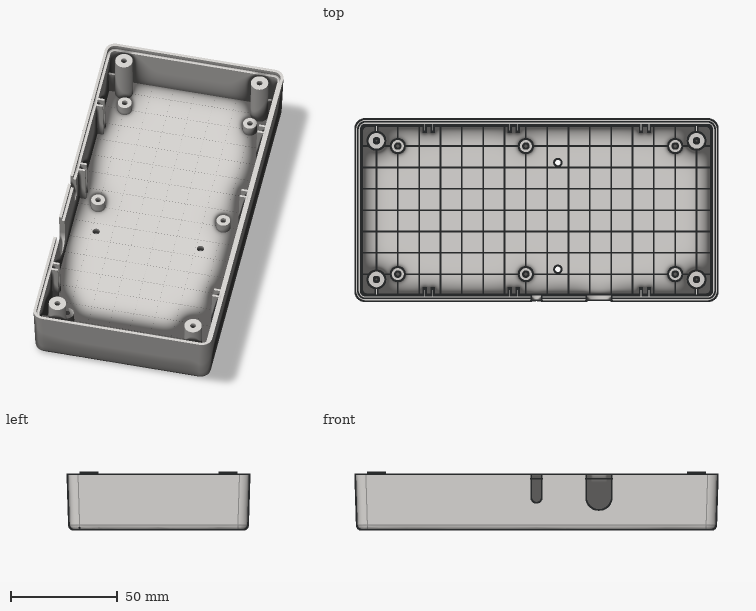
import cadquery as cq
import math


length = 170.0
width = 85.5
rim_height = 26.2
outer_corner_radius = 5.0
bottom_edge_radius = 2.5
draft_angle = 1.8

floor_thickness = 3.5
wall_at_ledge = 2.7
inner_corner_radius = 2.2
lip_thickness = 1.4
lip_corner_radius = outer_corner_radius - lip_thickness
ledge_depth = 2.2
ledge_height = rim_height - ledge_depth

grid_span = 150.0
grid_columns = 16
grid_rows = 7
grid_pitch = grid_span / (grid_columns - 1)
groove_width = 0.1
groove_depth = 0.1

post_x = grid_span / 2
post_y = 32.5
post_top = 27.0
post_radius = 4.0
post_base_radius = 4.2
post_hole_radius = 1.4
post_hole_tip_radius = 0.8
post_hole_depth = 17.0
web_thickness = 1.05
web_top = 15.8

boss_columns = [-6.5, -0.5, 6.5]
boss_row = 3
boss_top = 8.5
boss_radius = 3.2
boss_base_radius = 3.4
boss_hole_radius = 1.4
boss_hole_tip_radius = 1.2
boss_hole_depth = 4.6

floor_hole_radius = 1.7
floor_hole_x = grid_pitch
floor_hole_spacing = 5 * grid_pitch
floor_hole_middle_y = -2.7

guide_centers = [-50.5, -10.7, 50.8]
guide_rib_spacing = 3.7
guide_top_thickness = 1.0
guide_base_thickness = 1.4
guide_top_reach = 5.8
guide_base_reach = 6.3
guide_root = 1.7

cable_notches = [(0.0, 5.0, 12.8), (29.2, 12.0, 9.4)]
notch_cut_depth = 5.1


def draft_inset(height):
    """Sideways shift of a drafted wall over the given height."""
    return height * math.tan(math.radians(draft_angle))


def rounded_rectangle(x_size, y_size, radius):
    return cq.Sketch().rect(x_size, y_size).vertices().fillet(radius)


def drafted_block(x_size, y_size, radius, z_bottom, z_top):
    """Rounded block with the given size at its top, narrowing downwards by the draft."""
    shrink = 2 * draft_inset(z_top - z_bottom)
    bottom = rounded_rectangle(x_size - shrink, y_size - shrink, radius)
    top = rounded_rectangle(x_size, y_size, radius)
    return (
        cq.Workplane("XY")
        .workplane(offset=z_bottom)
        .placeSketch(bottom, top.moved(cq.Location(cq.Vector(0, 0, z_top - z_bottom))))
        .loft(ruled=True)
    )


def cone(x, y, z_bottom, z_top, bottom_radius, top_radius):
    solid = cq.Solid.makeCone(bottom_radius, top_radius, z_top - z_bottom)
    return cq.Workplane(solid.moved(cq.Location(cq.Vector(x, y, z_bottom))))


def box(x_min, x_max, y_min, y_max, z_min, z_max):
    return (
        cq.Workplane("XY")
        .box(x_max - x_min, y_max - y_min, z_max - z_min, centered=False)
        .translate((x_min, y_min, z_min))
    )


def shell():
    outside = drafted_block(length, width, outer_corner_radius, 0, rim_height).faces("<Z").edges()
    outside = outside.fillet(bottom_edge_radius)
    cavity = drafted_block(
        length - 2 * wall_at_ledge,
        width - 2 * wall_at_ledge,
        inner_corner_radius,
        floor_thickness,
        ledge_height,
    )
    lid_step = (
        cq.Workplane("XY")
        .workplane(offset=ledge_height)
        .placeSketch(
            rounded_rectangle(length - 2 * lip_thickness, width - 2 * lip_thickness, lip_corner_radius)
        )
        .extrude(ledge_depth)
    )
    return outside.cut(cavity).cut(lid_step)


def floor_grid():
    """Grooves that run to the foot of the walls."""
    foot_inset = wall_at_ledge + draft_inset(ledge_height - floor_thickness)
    groove_length_x = length - 2 * foot_inset
    groove_length_y = width - 2 * foot_inset
    plane = cq.Workplane("XY").workplane(offset=floor_thickness - groove_depth)
    columns = (
        plane.rarray(grid_pitch, 1.7, grid_columns, 1)
        .rect(groove_width, groove_length_y)
        .extrude(groove_depth)
    )
    rows = (
        plane.rarray(1.7, grid_pitch, 1, grid_rows)
        .rect(groove_length_x, groove_width)
        .extrude(groove_depth)
    )
    return columns.union(rows)


def floor_holes():
    return (
        cq.Workplane("XY")
        .center(floor_hole_x, floor_hole_middle_y)
        .rarray(1.7, floor_hole_spacing, 1, 2)
        .circle(floor_hole_radius)
        .extrude(floor_thickness)
    )


def hollow_pillar(x, y, top, base_radius, top_radius, hole_radius, tip_radius, hole_depth):
    """Tapered pillar standing on the floor with a tapered screw hole."""
    pillar = cone(x, y, floor_thickness - groove_depth, top, base_radius, top_radius)
    return pillar.cut(cone(x, y, top - hole_depth, top, tip_radius, hole_radius))


def corner_post(x, side):
    y = side * post_y
    half_web = web_thickness / 2
    web_start, web_end = sorted([y + side * post_radius / 2, side * (width / 2 - wall_at_ledge)])
    web = box(x - half_web, x + half_web, web_start, web_end, floor_thickness - groove_depth, web_top)
    post = hollow_pillar(
        x,
        y,
        post_top,
        post_base_radius,
        post_radius,
        post_hole_radius,
        post_hole_tip_radius,
        post_hole_depth,
    )
    return post.union(web)


def board_boss(column, side):
    return hollow_pillar(
        column * grid_pitch,
        side * boss_row * grid_pitch,
        boss_top,
        boss_base_radius,
        boss_radius,
        boss_hole_radius,
        boss_hole_tip_radius,
        boss_hole_depth,
    )


def guide_rib(x, side):
    """Upright rib rooted in a long wall, growing thicker and longer towards the floor."""
    z_base = floor_thickness - groove_depth
    base_length = guide_base_reach - guide_root
    top_length = guide_top_reach - guide_root
    root_y = width / 2 - guide_root
    return (
        cq.Workplane("XY")
        .workplane(offset=z_base)
        .center(x, side * (root_y - base_length / 2))
        .rect(guide_base_thickness, base_length)
        .workplane(offset=ledge_height - z_base)
        .center(0, side * (base_length - top_length) / 2)
        .rect(guide_top_thickness, top_length)
        .loft(ruled=True)
    )


def cable_notch(x, notch_width, lowest):
    radius = notch_width / 2
    return (
        cq.Workplane("XZ", origin=(x, -width / 2 + notch_cut_depth, 0))
        .moveTo(-radius, rim_height)
        .lineTo(-radius, lowest + radius)
        .threePointArc((0, lowest), (radius, lowest + radius))
        .lineTo(radius, rim_height)
        .close()
        .extrude(notch_cut_depth)
    )


result = shell().cut(floor_grid()).cut(floor_holes())

additions = []
for side in (-1, 1):
    additions += [corner_post(x, side) for x in (-post_x, post_x)]
    additions += [board_boss(column, side) for column in boss_columns]
    for center in guide_centers:
        additions += [guide_rib(center + half * guide_rib_spacing / 2, side) for half in (-1, 1)]
result = cq.Workplane(result.val().fuse(*[addition.val() for addition in additions]))

for notch_x, notch_width, lowest in cable_notches:
    result = result.cut(cable_notch(notch_x, notch_width, lowest))